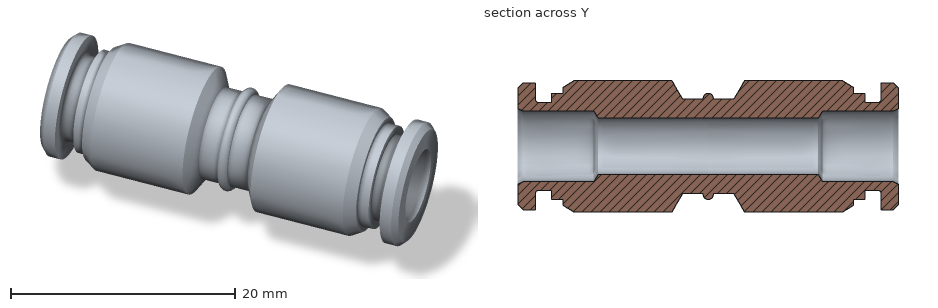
import cadquery as cq
import math

length = 34
half_length = length / 2

flange_radius = 5.7
flange_width = 1.6
flange_chamfer_length = 0.5
flange_face_radius = 5.2
neck_radius = 3.95
neck_fillet = 0.27
neck_end = 3.0

collar_radius = 4.75
sleeve_start = 4.0
sleeve_radius = 5.9
shoulder_length = 1.02
shoulder_face_radius = 5.27
sleeve_inner_x = 3.23
sleeve_taper_angle = 60

waist_radius = 4.25
bead_radius = 0.48
bead_top_radius = collar_radius

bore_radius = 2.5
socket_radius = 3.13
socket_mouth_radius = 3.35
socket_mouth_depth = 0.5
socket_depth = 6.8
stop_length = 0.37

taper_length = (sleeve_radius - waist_radius) / math.tan(math.radians(sleeve_taper_angle))


def outer_half():
    """Outside of the +X half, revolved about X."""
    flange_back_x = half_length - flange_width
    neck_end_x = half_length - neck_end
    sleeve_end_x = half_length - sleeve_start
    fillet_bulge = neck_fillet * (1 - math.sqrt(0.5))
    profile = (
        cq.Workplane("XY")
        .lineTo(0, waist_radius)
        .lineTo(sleeve_inner_x - taper_length, waist_radius)
        .lineTo(sleeve_inner_x, sleeve_radius)
        .lineTo(sleeve_end_x - shoulder_length, sleeve_radius)
        .lineTo(sleeve_end_x, shoulder_face_radius)
        .lineTo(sleeve_end_x, collar_radius)
        .lineTo(neck_end_x, collar_radius)
        .lineTo(neck_end_x, neck_radius)
        .lineTo(flange_back_x - neck_fillet, neck_radius)
        .threePointArc(
            (flange_back_x - fillet_bulge, neck_radius + fillet_bulge),
            (flange_back_x, neck_radius + neck_fillet),
        )
        .lineTo(flange_back_x, flange_radius)
        .lineTo(half_length - flange_chamfer_length, flange_radius)
        .lineTo(half_length, flange_face_radius)
        .lineTo(half_length, 0)
        .close()
    )
    return profile.revolve(360, (0, 0, 0), (1, 0, 0))


def passage_half():
    """Bore, tube stop and tube socket of the +X half."""
    stop_x = half_length - socket_depth
    profile = (
        cq.Workplane("XY")
        .lineTo(0, bore_radius)
        .lineTo(stop_x - stop_length, bore_radius)
        .lineTo(stop_x, socket_radius)
        .lineTo(half_length - socket_mouth_depth, socket_radius)
        .lineTo(half_length, socket_mouth_radius)
        .lineTo(half_length, 0)
        .close()
    )
    return profile.revolve(360, (0, 0, 0), (1, 0, 0))


def bead():
    """Rounded ring around the waist."""
    profile = cq.Workplane("XY").moveTo(0, bead_top_radius - bead_radius).circle(bead_radius)
    return profile.revolve(360, (0, 0, 0), (1, 0, 0))


half = outer_half().cut(passage_half())
result = half.union(half.mirror("YZ")).union(bead())